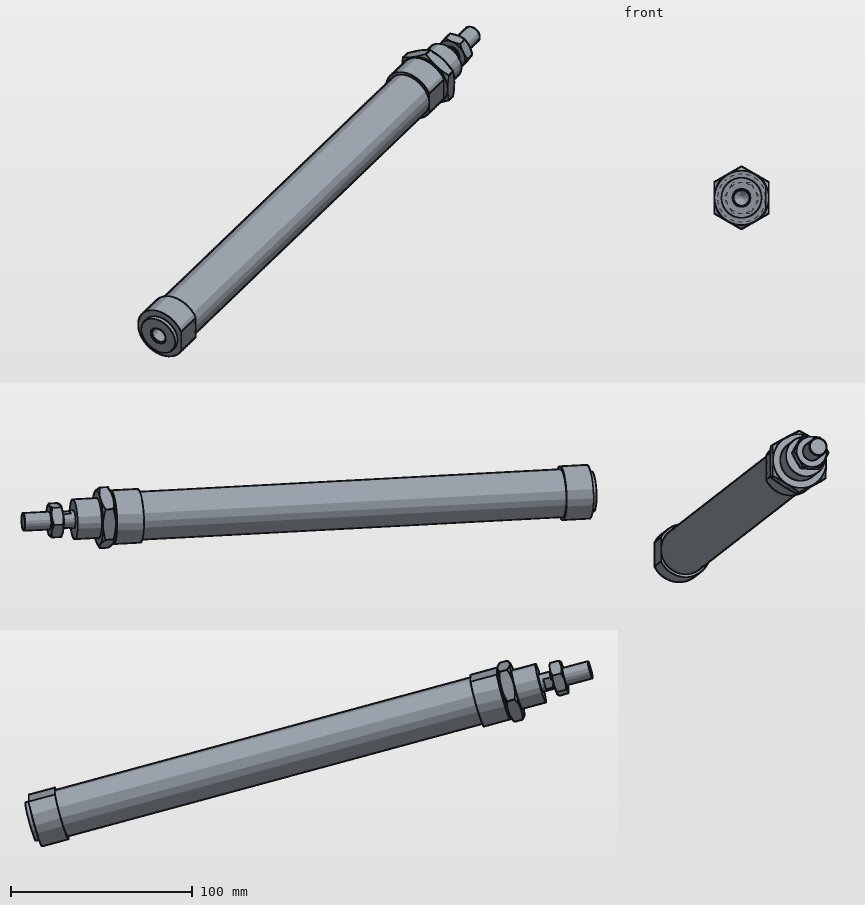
import cadquery as cq
import math

total_length = 320.5

tube_diameter = 26.5
cap_diameter = 29.8
cap_length = 15.0
cap_flat_offset = tube_diameter / 2
spigot_diameter = 22.0
rear_spigot_length = 2.5
front_spigot_length = 21.5
housing_length = 292.0
rear_cap_end = rear_spigot_length + cap_length
front_cap_end = housing_length - front_spigot_length
front_cap_start = front_cap_end - cap_length

port_diameter = 8.5
port_mouth_diameter = 10.0
port_depth = 9.5
port_chamfer = (port_mouth_diameter - port_diameter) / 2
port_tip_angle = 118.0
port_tip_length = port_diameter / 2 / math.tan(math.radians(port_tip_angle / 2))

rod_diameter = 10.0
rod_insertion = front_spigot_length
rod_start = housing_length - rod_insertion
rod_chamfer = 0.3
rod_flat_width = 8.0
rod_flat_length = 5.0
rod_groove_diameter = 8.5
rod_groove_length = 1.0

hex_half_angle = 30.0
mounting_nut_width = 30.0
mounting_nut_thickness = 7.0
mounting_nut_gap = 1.0
mounting_nut_start = front_cap_end + mounting_nut_gap
mounting_nut_outer_diameter = 34.5
rod_nut_width = 17.0
rod_nut_outer_diameter = rod_nut_width / math.cos(math.radians(hex_half_angle))
rod_nut_thickness = 6.5
rod_nut_start = 299.5
nut_chamfer_angle = 30.0


def cylinder_y(diameter, start, end):
    """Solid cylinder along Y between two stations."""
    return cq.Workplane("XZ", origin=(0, start, 0)).circle(diameter / 2).extrude(start - end)


def end_cap(start):
    """Round cap with one flat, level with the tube, on its +X side."""
    cap = cylinder_y(cap_diameter, start, start + cap_length)
    flat_cut = (
        cq.Workplane("XY")
        .box(cap_diameter, cap_length, cap_diameter, centered=(False, False, True))
        .translate((cap_flat_offset, start, 0))
    )
    return cap.cut(flat_cut)


def rear_port():
    """Chamfered blind hole with a conical drill tip, revolved about Y."""
    port_radius = port_diameter / 2
    return (
        cq.Workplane("XY")
        .moveTo(0, 0)
        .lineTo(port_mouth_diameter / 2, 0)
        .lineTo(port_radius, port_chamfer)
        .lineTo(port_radius, port_depth)
        .lineTo(0, port_depth + port_tip_length)
        .close()
        .revolve(360, (0, 0, 0), (0, 1, 0))
    )


def make_housing():
    rear_spigot = cylinder_y(spigot_diameter, 0, rear_spigot_length)
    tube = cylinder_y(tube_diameter, rear_cap_end, front_cap_start)
    front_spigot = cylinder_y(spigot_diameter, front_cap_end, housing_length)
    body = rear_spigot.union(end_cap(rear_spigot_length)).union(tube)
    body = body.union(end_cap(front_cap_start)).union(front_spigot)
    rod_bore = cylinder_y(rod_diameter, rod_start, housing_length)
    return body.cut(rear_port()).cut(rod_bore)


def make_piston_rod():
    rod = cylinder_y(rod_diameter, rod_start, total_length).faces(">Y").chamfer(rod_chamfer)
    for side in (-1, 1):
        flat_cut = (
            cq.Workplane("XY")
            .box(rod_diameter, rod_flat_length, rod_diameter)
            .translate((
                0,
                rod_nut_start - rod_flat_length / 2,
                side * (rod_flat_width + rod_diameter) / 2,
            ))
        )
        rod = rod.cut(flat_cut)
    groove_start = rod_nut_start - rod_groove_length
    groove = cylinder_y(rod_diameter, groove_start, rod_nut_start)
    groove = groove.cut(cylinder_y(rod_groove_diameter, groove_start, rod_nut_start))
    return rod.cut(groove)


def hex_nut(width, outer_diameter, thickness, bore_diameter, start, turn):
    """Hexagon nut along Y, turned down to its outer diameter and chamfered on both faces."""
    corner_diameter = width / math.cos(math.radians(hex_half_angle))
    outer_radius = outer_diameter / 2
    face_radius = width / 2
    chamfer_depth = (outer_radius - face_radius) * math.tan(math.radians(nut_chamfer_angle))
    prism = (
        cq.Workplane("XZ", origin=(0, start, 0))
        .polygon(6, corner_diameter)
        .extrude(-thickness)
        .rotate((0, 0, 0), (0, 1, 0), turn)
    )
    envelope = (
        cq.Workplane("XY")
        .moveTo(0, start)
        .lineTo(face_radius, start)
        .lineTo(outer_radius, start + chamfer_depth)
        .lineTo(outer_radius, start + thickness - chamfer_depth)
        .lineTo(face_radius, start + thickness)
        .lineTo(0, start + thickness)
        .close()
        .revolve(360, (0, 0, 0), (0, 1, 0))
    )
    bore = cylinder_y(bore_diameter, start, start + thickness)
    return prism.intersect(envelope).cut(bore)


housing = make_housing()
piston_rod = make_piston_rod()
mounting_nut = hex_nut(
    mounting_nut_width,
    mounting_nut_outer_diameter,
    mounting_nut_thickness,
    spigot_diameter,
    mounting_nut_start,
    hex_half_angle,
)
rod_nut = hex_nut(
    rod_nut_width,
    rod_nut_outer_diameter,
    rod_nut_thickness,
    rod_diameter,
    rod_nut_start,
    0,
)

result = cq.Compound.makeCompound([
    housing.val(),
    piston_rod.val(),
    mounting_nut.val(),
    rod_nut.val(),
])